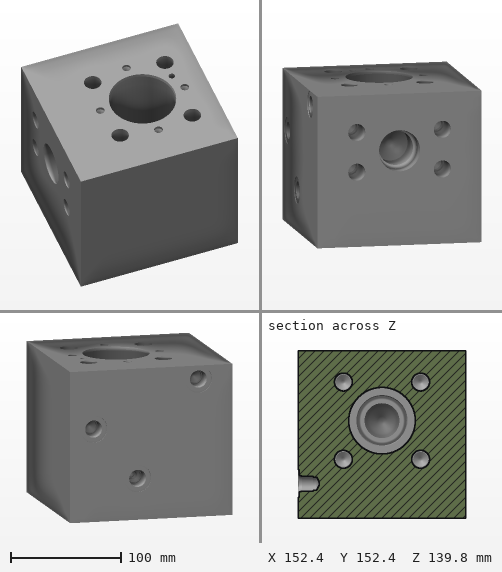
import cadquery as cq
import math

WIDTH = 152.4
HEIGHT = 139.8
HALF_WIDTH = WIDTH / 2

DRILL_POINT_ANGLE = 118.0

CAVITY_Y = 12.6
CAVITY_MOUTH_DIAMETER = 61.3
CAVITY_DIAMETER = 60.0
CAVITY_LEAD_IN = 2.5
CAVITY_DEPTH = 70.0
SEAT_MOUTH_DIAMETER = 46.5
SEAT_DIAMETER = 45.0
SEAT_LEAD_IN = 2.5
SEAT_DEPTH = 85.0
OUTLET_DIAMETER = 31.7
OUTLET_DEPTH = 106.7

BOLT_DIAMETER = 15.8
TAP_DRILL_DIAMETER = 13.4
BOLT_THREAD_DEPTH = 30.5
TAP_DRILL_DEPTH = 36.5

COVER_BOLT_OFFSET = 35.0
PILOT_DIAMETER = 8.0
PILOT_OFFSET = 41.0
PILOT_DEPTH = 2.5
PIN_DIAMETER = 6.0
PIN_X = -17.0
PIN_DEPTH = 8.0

FLANGE_PORT_Z = HEIGHT - 52.6
FLANGE_PORT_DIAMETER = 38.1
FLANGE_PORT_DEPTH = 14.0
FLANGE_DRILL_DIAMETER = 31.7
FLANGE_DRILL_DEPTH = 39.6
FLANGE_BOLT_SPACING_X = 79.4
FLANGE_BOLT_SPACING_Z = 36.5

PORT_Z1 = (54.0, HEIGHT - 54.0)
PORT_Z2 = (-44.5, HEIGHT - 12.6)
PORT_X = (CAVITY_Y, HEIGHT - 101.7)
SPOTFACE_DIAMETER = 25.0
SPOTFACE_DEPTH = 0.8
PORT_MOUTH_DIAMETER = 15.8
PORT_THREAD_DIAMETER = 14.3
PORT_DRILL_DIAMETER = 12.6
PORT_SEAT_DEPTH = 2.6
PORT_THREAD_DEPTH = 13.7
PORT_DRILL_DEPTH = 16.8
ORIFICE_THREAD_DIAMETER = 8.0
ORIFICE_DRILL_DIAMETER = 6.4
ORIFICE_THREAD_DEPTH = 25.9
ORIFICE_DRILL_DEPTH = 30.5

TOP = cq.Plane(origin=(0, 0, HEIGHT), xDir=(1, 0, 0), normal=(0, 0, 1))
FRONT = cq.Plane(origin=(0, -HALF_WIDTH, 0), xDir=(1, 0, 0), normal=(0, -1, 0))
LEFT = cq.Plane(origin=(-HALF_WIDTH, 0, 0), xDir=(0, -1, 0), normal=(-1, 0, 0))


def point_height(large_diameter, small_diameter=0.0):
    """Height of the drill-point cone between two diameters."""
    return (large_diameter - small_diameter) / 2 / math.tan(math.radians(DRILL_POINT_ANGLE / 2))


def bored_hole(face, u, v, profile):
    """Hole of (diameter, depth) corners below a face, closed by a drill point."""
    last_diameter, last_depth = profile[-1]
    corners = [(0, 0)]
    corners += [(diameter / 2, -depth) for diameter, depth in profile]
    corners.append((0, -last_depth - point_height(last_diameter)))
    centre = face.toWorldCoords((u, v, 0)).toTuple()
    section = cq.Plane(origin=centre, xDir=face.xDir, normal=-face.yDir)
    return cq.Workplane(section).polyline(corners).close().revolve(360, (0, 0, 0), (0, 1, 0))


def plain_hole(face, u, v, diameter, depth):
    return bored_hole(face, u, v, [(diameter, 0), (diameter, depth)])


def bolt_hole(face, u, v):
    return bored_hole(face, u, v, [
        (BOLT_DIAMETER, 0),
        (BOLT_DIAMETER, BOLT_THREAD_DEPTH),
        (TAP_DRILL_DIAMETER, BOLT_THREAD_DEPTH),
        (TAP_DRILL_DIAMETER, TAP_DRILL_DEPTH),
    ])


def cartridge_cavity():
    return bored_hole(TOP, 0, CAVITY_Y, [
        (CAVITY_MOUTH_DIAMETER, 0),
        (CAVITY_DIAMETER, CAVITY_LEAD_IN),
        (CAVITY_DIAMETER, CAVITY_DEPTH),
        (SEAT_MOUTH_DIAMETER, CAVITY_DEPTH),
        (SEAT_DIAMETER, CAVITY_DEPTH + SEAT_LEAD_IN),
        (SEAT_DIAMETER, SEAT_DEPTH),
        (OUTLET_DIAMETER, SEAT_DEPTH),
        (OUTLET_DIAMETER, OUTLET_DEPTH),
    ])


def flange_port():
    shoulder = point_height(FLANGE_PORT_DIAMETER, FLANGE_DRILL_DIAMETER)
    return bored_hole(FRONT, 0, FLANGE_PORT_Z, [
        (FLANGE_PORT_DIAMETER, 0),
        (FLANGE_PORT_DIAMETER, FLANGE_PORT_DEPTH),
        (FLANGE_DRILL_DIAMETER, FLANGE_PORT_DEPTH + shoulder),
        (FLANGE_DRILL_DIAMETER, FLANGE_DRILL_DEPTH),
    ])


def threaded_port(y, z, inner_profile=()):
    """Spotfaced port with a tapered seal seat, a thread and a tap drill."""
    profile = [
        (SPOTFACE_DIAMETER, 0),
        (SPOTFACE_DIAMETER, SPOTFACE_DEPTH),
        (PORT_MOUTH_DIAMETER, SPOTFACE_DEPTH),
        (PORT_THREAD_DIAMETER, SPOTFACE_DEPTH + PORT_SEAT_DEPTH),
        (PORT_THREAD_DIAMETER, PORT_THREAD_DEPTH),
        (PORT_DRILL_DIAMETER, PORT_THREAD_DEPTH),
        (PORT_DRILL_DIAMETER, PORT_DRILL_DEPTH),
    ]
    return bored_hole(LEFT, -y, z, profile + list(inner_profile))


def orifice_profile():
    """Small tapped orifice that continues from the drill point of a threaded port."""
    start = PORT_DRILL_DEPTH + point_height(PORT_DRILL_DIAMETER, ORIFICE_THREAD_DIAMETER)
    return [
        (ORIFICE_THREAD_DIAMETER, start),
        (ORIFICE_THREAD_DIAMETER, ORIFICE_THREAD_DEPTH),
        (ORIFICE_DRILL_DIAMETER, ORIFICE_THREAD_DEPTH),
        (ORIFICE_DRILL_DIAMETER, ORIFICE_DRILL_DEPTH),
    ]


def cover_pattern():
    """Bolt, pilot and locating pin holes around the cavity."""
    pattern = []
    for side_x in (-1, 1):
        for side_y in (-1, 1):
            bolt_y = CAVITY_Y + side_y * COVER_BOLT_OFFSET
            pattern.append(bolt_hole(TOP, side_x * COVER_BOLT_OFFSET, bolt_y))
    for direction_x, direction_y in ((1, 0), (0, 1), (-1, 0), (0, -1)):
        pilot_x = direction_x * PILOT_OFFSET
        pilot_y = CAVITY_Y + direction_y * PILOT_OFFSET
        pattern.append(plain_hole(TOP, pilot_x, pilot_y, PILOT_DIAMETER, PILOT_DEPTH))
    pattern.append(plain_hole(TOP, PIN_X, CAVITY_Y + COVER_BOLT_OFFSET, PIN_DIAMETER, PIN_DEPTH))
    return pattern


def flange_bolts():
    """Rectangle of bolt holes around the flange port."""
    pattern = []
    for side_x in (-1, 1):
        for side_z in (-1, 1):
            bolt_z = FLANGE_PORT_Z + side_z * FLANGE_BOLT_SPACING_Z / 2
            pattern.append(bolt_hole(FRONT, side_x * FLANGE_BOLT_SPACING_X / 2, bolt_z))
    return pattern


holes = [
    cartridge_cavity(),
    *cover_pattern(),
    flange_port(),
    *flange_bolts(),
    threaded_port(*PORT_Z1),
    threaded_port(*PORT_Z2),
    threaded_port(*PORT_X, orifice_profile()),
]

result = cq.Workplane("XY").box(WIDTH, WIDTH, HEIGHT, centered=(True, True, False))
for hole in holes:
    result = result.cut(hole)